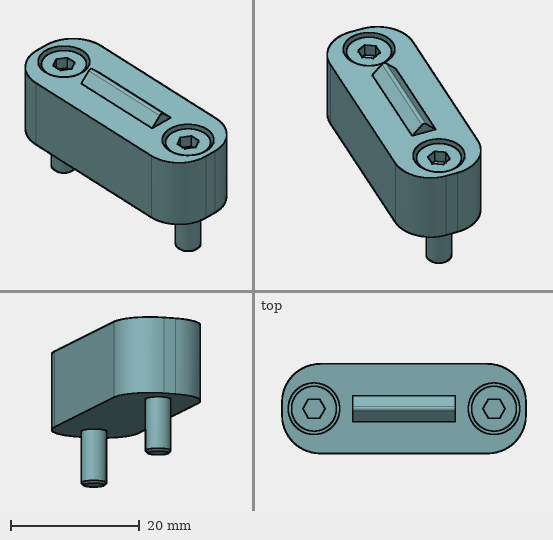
import cadquery as cq
import math

housing_length = 38.0
housing_width = 14.0
housing_height = 12.0
corner_radius = 6.0

screw_spacing = 28.0
counterbore_diameter = 8.0
head_diameter = 7.0
head_height = 4.0
head_recess = 0.5
shank_diameter = 4.0
shank_protrusion = 8.5
shank_chamfer = 0.38
socket_across_flats = 3.0
socket_depth = 2.0

catch_length = 16.0
catch_width = 4.0
ridge_radius = 0.5

screw_positions = [(-screw_spacing / 2, 0), (screw_spacing / 2, 0)]
head_top = housing_height - head_recess
head_seat = head_top - head_height
counterbore_depth = housing_height - head_seat


def make_housing():
    """Rounded block with a counterbored through hole for each screw."""
    return (
        cq.Workplane("XY")
        .box(housing_length, housing_width, housing_height, centered=(True, True, False))
        .edges("|Z")
        .fillet(corner_radius)
        .faces(">Z")
        .workplane()
        .pushPoints(screw_positions)
        .cboreHole(shank_diameter, counterbore_diameter, counterbore_depth)
    )


def make_screw(position):
    """Cylindrical head with a hexagon socket, above a shank with a chamfered tip."""
    x, y = position
    shank = (
        cq.Workplane("XY", origin=(x, y, -shank_protrusion))
        .circle(shank_diameter / 2)
        .extrude(shank_protrusion + head_seat)
        .faces("<Z")
        .chamfer(shank_chamfer)
    )
    head = (
        cq.Workplane("XY", origin=(x, y, head_seat))
        .circle(head_diameter / 2)
        .extrude(head_height)
    )
    socket_across_corners = socket_across_flats / math.cos(math.pi / 6)
    socket = (
        cq.Workplane("XY", origin=(x, y, head_top))
        .polygon(6, socket_across_corners)
        .extrude(-socket_depth)
    )
    return shank.union(head).cut(socket)


def make_catch():
    """Triangular prism resting on the housing top, its ridge running along X."""
    half_width = catch_width / 2
    ridge_height = half_width
    return (
        cq.Workplane("YZ", origin=(-catch_length / 2, 0, housing_height))
        .polyline([(-half_width, 0), (half_width, 0), (0, ridge_height)])
        .close()
        .extrude(catch_length)
        .edges("|X and >Z")
        .fillet(ridge_radius)
    )


housing = make_housing()
screws = [make_screw(position) for position in screw_positions]
catch = make_catch()

result = cq.Compound.makeCompound([housing.val(), *[screw.val() for screw in screws], catch.val()])